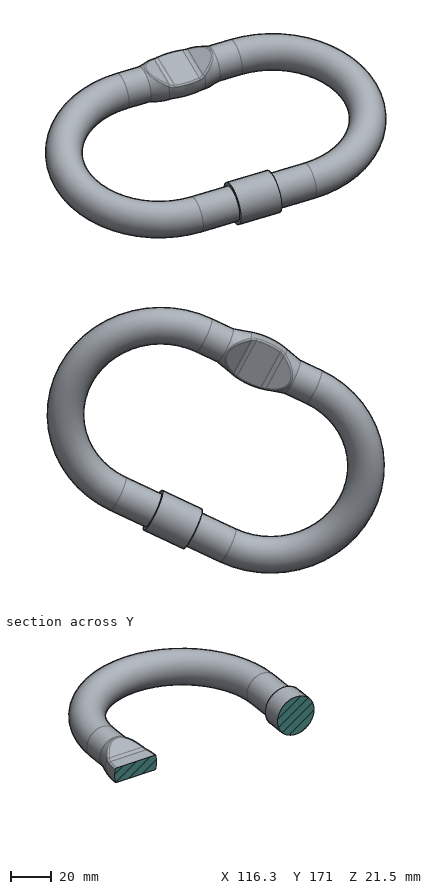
import cadquery as cq
import math

length = 171.0
bar_diameter = 18.0
leg_length = 60.0
bar_radius = bar_diameter / 2
bend_radius = (length - leg_length) / 2 - bar_radius

sleeve_diameter = 21.5
sleeve_length = 21.5

swell_radius = 12.5
swell_length = 36.5
swell_taper_angle = 14.6

flat_thickness = 8.5
flat_length = 15.5
ramp_angle = 28.0
ramp_blend_radius = 5.0
rim_fillet = 1.0


def leg_bar(x, diameter, bar_length):
    """Round bar along Y, centred on the leg at x."""
    return (
        cq.Workplane("XZ", origin=(x, bar_length / 2, 0))
        .circle(diameter / 2)
        .extrude(bar_length)
    )


def bend(side):
    """Half ring joining the legs at the +Y (side = 1) or -Y (side = -1) end."""
    return (
        cq.Workplane("XZ")
        .center(bend_radius, 0)
        .circle(bar_radius)
        .revolve(180, (-bend_radius, 0), (-bend_radius, side))
        .translate((0, side * leg_length / 2, 0))
    )


def swelling_body():
    """Barrel about the Y axis: cones from the bar size, joined by a tangent crown arc."""
    half = swell_length / 2
    taper = math.radians(swell_taper_angle)
    tangent_length = half - (swell_radius - bar_radius) / math.tan(taper)
    crown_end_y = tangent_length * (1 + math.cos(taper))
    crown_end_radius = swell_radius - tangent_length * math.sin(taper)
    return (
        cq.Workplane("XY")
        .moveTo(0, -half)
        .lineTo(bar_radius, -half)
        .lineTo(crown_end_radius, -crown_end_y)
        .threePointArc((swell_radius, 0), (crown_end_radius, crown_end_y))
        .lineTo(bar_radius, half)
        .lineTo(0, half)
        .close()
        .revolve(360, (0, 0), (0, 1))
    )


def marking_envelope():
    """Slab, thin in the middle and ramping up towards both ends in Y."""
    half_flat = flat_length / 2
    half_length = swell_length / 2
    half_thickness = flat_thickness / 2
    end_height = half_thickness + (half_length - half_flat) * math.tan(math.radians(ramp_angle))
    upper = [
        (-half_length, end_height),
        (-half_flat, half_thickness),
        (half_flat, half_thickness),
        (half_length, end_height),
    ]
    lower = [(y, -z) for y, z in reversed(upper)]
    slab = cq.Workplane("YZ").polyline(upper + lower).close().extrude(swell_radius, both=True)
    flat_ends = slab.edges("|X").edges("not (<Y or >Y)")
    return flat_ends.fillet(ramp_blend_radius)


def swelling():
    """Barrel on the -X leg with both marking faces, their rims rounded."""
    body = swelling_body().intersect(marking_envelope())
    rims = body.edges("not (%LINE or %CIRCLE)")
    return rims.fillet(rim_fillet).translate((-bend_radius, 0, 0))


stub_length = (leg_length - swell_length) / 2
stub_centre_y = (swell_length + stub_length) / 2

result = leg_bar(bend_radius, bar_diameter, leg_length)
result = result.union(leg_bar(bend_radius, sleeve_diameter, sleeve_length))
for side in (1, -1):
    stub = leg_bar(-bend_radius, bar_diameter, stub_length)
    result = result.union(bend(side))
    result = result.union(stub.translate((0, side * stub_centre_y, 0)))
result = result.union(swelling())